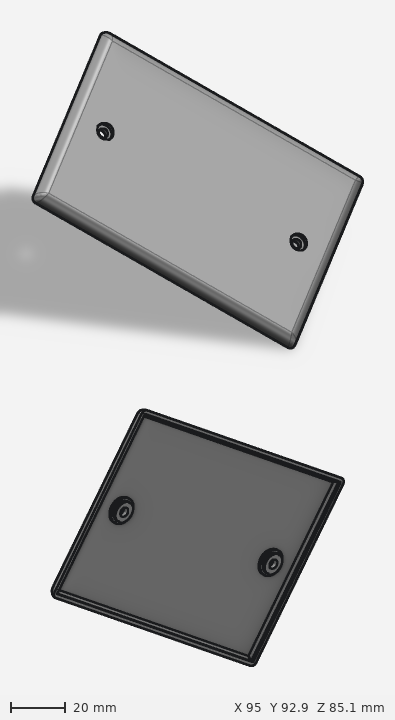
import cadquery as cq

plate_length = 112.8
plate_width = 76.8
plate_height = 4.3
edge_radius = 4.0
corner_radius = 2.0

rim_width = 1.6
rim_wall_depth = 1.1
slope_width = 1.2
slope_depth = 1.1
floor_height = rim_wall_depth + slope_depth

screw_spacing = 83.5
screw_hole_diameter = 3.6
counterbore_diameter = 6.6
counterbore_depth = 1.8
boss_base_diameter = 10.4
boss_base_height = 1.1
boss_tip_diameter = 8.2

pitch_angle = 33.37
roll_angle = 19.95


def rounded_plate():
    """Solid plate with rounded face edges and softened corners."""
    block = cq.Workplane("XY").box(plate_length, plate_width, plate_height, centered=(True, True, False))
    softened = block.edges("|Z").fillet(corner_radius)
    return softened.faces(">Z").edges().fillet(edge_radius)


def back_recess():
    """Recess with an upright wall at the rim and a band sloping in to the floor."""
    length = plate_length - 2 * rim_width
    width = plate_width - 2 * rim_width
    opening = cq.Workplane("XY").rect(length, width).extrude(rim_wall_depth)
    slope = (
        cq.Workplane("XY", origin=(0, 0, rim_wall_depth))
        .rect(length, width)
        .workplane(offset=slope_depth)
        .rect(length - 2 * slope_width, width - 2 * slope_width)
        .loft(ruled=True)
    )
    return opening.union(slope)


def at_screws(diameter, bottom, top):
    """One upright cylinder at each screw position."""
    return (
        cq.Workplane("XY", origin=(0, 0, bottom))
        .pushPoints([(-screw_spacing / 2, 0), (screw_spacing / 2, 0)])
        .circle(diameter / 2)
        .extrude(top - bottom)
    )


counterbore_floor = plate_height - counterbore_depth
boss_step = floor_height - boss_base_height

plate = rounded_plate().cut(back_recess())
plate = plate.union(at_screws(boss_base_diameter, boss_step, counterbore_floor))
plate = plate.union(at_screws(boss_tip_diameter, 0, counterbore_floor))
plate = plate.cut(at_screws(counterbore_diameter, counterbore_floor, plate_height))
plate = plate.cut(at_screws(screw_hole_diameter, 0, plate_height))

result = plate.rotate((0, 0, 0), (0, 1, 0), pitch_angle).rotate((0, 0, 0), (1, 0, 0), roll_angle)